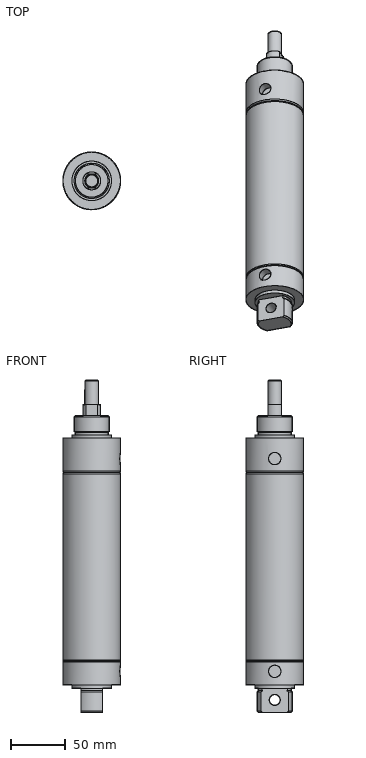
import cadquery as cq

total_height = 303.3
body_dia = 52.8

body_bottom = 25.2
body_top = 250.5
nose_top = 270.8
rear_groove_level = 47.0
front_groove_level = 219.0
rear_groove_width = 1.8
front_groove_width = 2.7
groove_depth = 0.5

collar_dia = 36.0
rear_collar_height = 3.0
front_collar_height = 2.7
thread_dia = 32.0
relief_dia = 30.3
relief_width = 2.0
thread_chamfer = 1.2

tang_thickness = 19.7
pin_hole_dia = 9.7
pin_hole_level = 11.5

port_dia = 11.2
port_depth = 9.0
rear_port_level = 37.5
front_port_level = 231.7

rod_dia = 16.5
rod_tip_dia = 12.7
rod_tip_chamfer = 1.0
rod_shoulder_level = 280.8
rod_flat_width = rod_tip_dia
rod_bottom = body_top


def cylinder(diameter, bottom, top):
    return cq.Workplane("XY").workplane(offset=bottom).circle(diameter / 2).extrude(top - bottom)


def threaded_end(bottom, top):
    """Cylinder with both rims chamfered."""
    return cylinder(thread_dia, bottom, top).edges("%CIRCLE").chamfer(thread_chamfer)


def crimp_groove(level, width):
    """Ring of triangular section that cuts a V groove around the body."""
    rim = body_dia / 2
    return (
        cq.Workplane("XZ")
        .moveTo(rim, level - width / 2)
        .lineTo(rim - groove_depth, level)
        .lineTo(rim, level + width / 2)
        .close()
        .revolve(360, (0, 0, 0), (0, 1, 0))
    )


def port(level):
    """Radial cutter for a blind port on the +X side."""
    return (
        cq.Workplane("YZ")
        .workplane(offset=body_dia / 2 - port_depth)
        .center(0, level)
        .circle(port_dia / 2)
        .extrude(port_depth)
    )


def make_tang():
    collar_bottom = body_bottom - rear_collar_height
    tang_top = collar_bottom - relief_width
    round_end = threaded_end(0, tang_top).union(cylinder(relief_dia, tang_top, collar_bottom))
    flats = cq.Workplane("XY").rect(tang_thickness, thread_dia).extrude(collar_bottom)
    pin_hole = (
        cq.Workplane("YZ")
        .center(0, pin_hole_level)
        .circle(pin_hole_dia / 2)
        .extrude(tang_thickness, both=True)
    )
    return round_end.intersect(flats).cut(pin_hole)


def make_nose():
    collar_top = body_top + front_collar_height
    thread_bottom = collar_top + relief_width
    return (
        cylinder(collar_dia, body_top, collar_top)
        .union(cylinder(relief_dia, collar_top, thread_bottom))
        .union(threaded_end(thread_bottom, nose_top))
    )


def make_housing():
    housing = cylinder(body_dia, body_bottom, body_top)
    housing = housing.cut(crimp_groove(rear_groove_level, rear_groove_width))
    housing = housing.cut(crimp_groove(front_groove_level, front_groove_width))
    for level in (rear_port_level, front_port_level):
        housing = housing.cut(port(level))
    rear_collar = cylinder(collar_dia, body_bottom - rear_collar_height, body_bottom)
    housing = housing.union(rear_collar).union(make_tang()).union(make_nose())
    return housing.cut(cylinder(rod_dia, rod_bottom, nose_top))


def make_rod():
    shank = cylinder(rod_dia, nose_top, rod_shoulder_level)
    flats = (
        cq.Workplane("XY")
        .workplane(offset=nose_top)
        .rect(rod_dia, rod_flat_width)
        .extrude(rod_shoulder_level - nose_top)
    )
    tip = cylinder(rod_tip_dia, rod_shoulder_level, total_height)
    tip = tip.faces(">Z").chamfer(rod_tip_chamfer)
    return (
        cylinder(rod_dia, rod_bottom, nose_top)
        .union(shank.intersect(flats))
        .union(tip)
    )


housing = make_housing()
rod = make_rod()
result = cq.Compound.makeCompound([housing.val(), rod.val()])